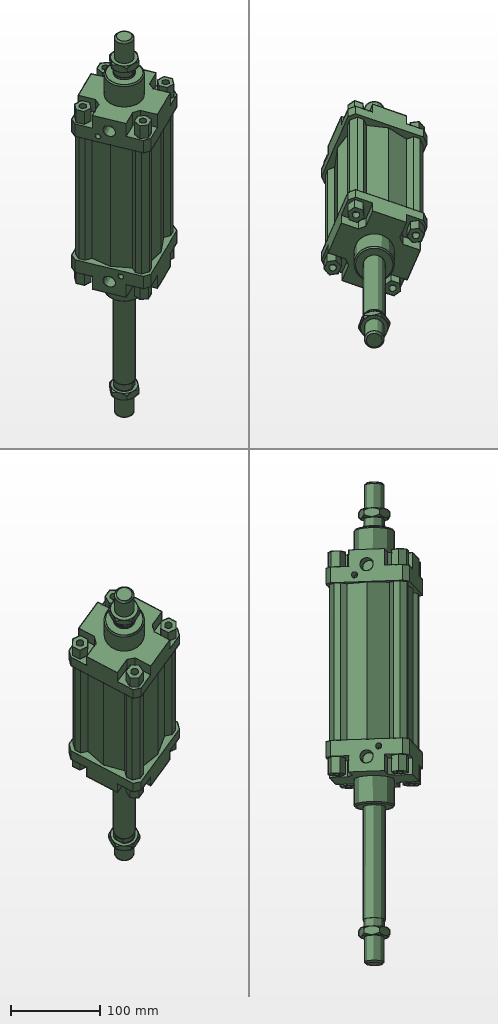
import cadquery as cq
import math


HEAD_WIDTH = 95.0
HEAD_CORNER_CHAMFER = 6.5
HEAD_HEIGHT = 37.0
BARREL_LENGTH = 180.5
HEAD_INNER_Z = BARREL_LENGTH / 2
HEAD_OUTER_Z = HEAD_INNER_Z + HEAD_HEIGHT

RECESS_DEPTH = 18.5
RECESS_FLOOR_Z = HEAD_OUTER_Z - RECESS_DEPTH
ARM_WIDTH = 40.5
RECESS_WIDTH = (HEAD_WIDTH - ARM_WIDTH) / 2
RECESS_CHAMFER = 6.5
BOLT_SPACING = 72.0
BOLT_ACROSS_FLATS = 17.0
BOLT_HOLE_DIAMETER = 8.0
BOLT_HOLE_DEPTH = 14.0
DRILL_POINT_ANGLE = 118

BOSS_DIAMETER = 45.0
BOSS_HEIGHT = 31.5
BOSS_CHAMFER = 1.5
BOSS_END_Z = HEAD_OUTER_Z + BOSS_HEIGHT

PORT_DIAMETER = 15.0
PORT_DEPTH = 16.5
PORT_Z = HEAD_OUTER_Z - 17.0
SCREW_HOLE_DIAMETER = 6.5
SCREW_HOLE_DEPTH = 16.5
SCREW_HOLE_X = 14.0
SCREW_HOLE_Z = HEAD_OUTER_Z - 28.5

BARREL_WIDTH = 88.5
BARREL_CORNER_CHAMFER = 6.5
BARREL_PAD_INNER = 30.0
BARREL_VALLEY_DEPTH = 6.0

ROD_DIAMETER = 25.0
ROD_LENGTH = 550
ROD_TOP_Z = 212.0
ROD_BOTTOM_Z = ROD_TOP_Z - ROD_LENGTH
THREAD_DIAMETER = 22
THREAD_CHAMFER = 2.0
NECK_DIAMETER = 24.0
FLATS_WIDTH = 22
FLATS_END = 49.0
NECK_END = 50.5

NUT_ACROSS_FLATS = 31.0
NUT_HEIGHT = 10.0
NUT_SETBACK = 31.0
NUT_CHAMFER_ANGLE = 45
THREAD_LENGTH = NUT_SETBACK + NUT_HEIGHT


def across_corners(across_flats):
    """Return the corner-to-corner width of a hexagon."""
    return across_flats / math.cos(math.radians(30))


def make_bolt(quarter_turns):
    """Hexagonal bolt with a drilled end; each corner turns it by a further quarter turn."""
    bolt = (
        cq.Workplane("XY", origin=(0, 0, RECESS_FLOOR_Z))
        .polygon(6, across_corners(BOLT_ACROSS_FLATS))
        .extrude(RECESS_DEPTH)
    )
    radius = BOLT_HOLE_DIAMETER / 2
    wall_end = HEAD_OUTER_Z - BOLT_HOLE_DEPTH
    tip = wall_end - radius / math.tan(math.radians(DRILL_POINT_ANGLE / 2))
    drilled_hole = (
        cq.Workplane("XZ")
        .polyline([(0, HEAD_OUTER_Z), (radius, HEAD_OUTER_Z), (radius, wall_end), (0, tip)])
        .close()
        .revolve(360, (0, 0, 0), (0, 1, 0))
    )
    return (
        bolt.cut(drilled_hole)
        .translate((-BOLT_SPACING / 2, -BOLT_SPACING / 2, 0))
        .rotate((0, 0, 0), (0, 0, 1), 90 * quarter_turns)
    )


def make_recess(quarter_turns):
    """Cutter for a corner recess with a chamfered inner corner."""
    return (
        cq.Workplane("XY", origin=(-HEAD_WIDTH / 2, -HEAD_WIDTH / 2, RECESS_FLOOR_Z))
        .rect(2 * RECESS_WIDTH, 2 * RECESS_WIDTH)
        .extrude(RECESS_DEPTH)
        .edges("|Z")
        .chamfer(RECESS_CHAMFER)
        .rotate((0, 0, 0), (0, 0, 1), 90 * quarter_turns)
    )


def front_hole(x, z, diameter, depth):
    """Cutter for a blind hole in the -Y face of a head."""
    return (
        cq.Workplane("XZ", origin=(x, -HEAD_WIDTH / 2, z))
        .circle(diameter / 2)
        .extrude(-depth)
    )


def make_upper_head():
    """Head with recesses, bolts, boss and port, at the +Z end of the barrel."""
    head = (
        cq.Workplane("XY", origin=(0, 0, HEAD_INNER_Z))
        .rect(HEAD_WIDTH, HEAD_WIDTH)
        .extrude(HEAD_HEIGHT)
        .edges("|Z")
        .chamfer(HEAD_CORNER_CHAMFER)
    )
    for quarter_turns in range(4):
        head = head.cut(make_recess(quarter_turns)).union(make_bolt(quarter_turns))
    boss = (
        cq.Workplane("XY", origin=(0, 0, HEAD_OUTER_Z))
        .circle(BOSS_DIAMETER / 2)
        .extrude(BOSS_HEIGHT)
        .faces(">Z")
        .chamfer(BOSS_CHAMFER)
    )
    return head.union(boss).cut(front_hole(0, PORT_Z, PORT_DIAMETER, PORT_DEPTH))


def make_barrel():
    """Barrel with a ridge in the middle of each side and a chamfered pad at each corner."""
    half = BARREL_WIDTH / 2
    valley_x = BARREL_PAD_INNER - BARREL_VALLEY_DEPTH
    valley_y = half - BARREL_VALLEY_DEPTH
    pad_outer = half - BARREL_CORNER_CHAMFER
    side = [
        (-pad_outer, -half),
        (-BARREL_PAD_INNER, -half),
        (-valley_x, -valley_y),
        (0, -half),
        (valley_x, -valley_y),
        (BARREL_PAD_INNER, -half),
        (pad_outer, -half),
    ]
    outline = []
    for quarter_turns in range(4):
        outline += side
        side = [(-y, x) for x, y in side]
    return (
        cq.Workplane("XY", origin=(0, 0, -HEAD_INNER_Z))
        .polyline(outline)
        .close()
        .extrude(BARREL_LENGTH)
    )


def make_housing():
    """Barrel and both heads, bored through for the rod."""
    upper_head = make_upper_head()
    rod_bore = (
        cq.Workplane("XY", origin=(0, 0, -BOSS_END_Z))
        .circle(ROD_DIAMETER / 2)
        .extrude(2 * BOSS_END_Z)
    )
    housing = make_barrel().union(upper_head).union(upper_head.mirror("XY"))
    for side in (1, -1):
        housing = housing.cut(
            front_hole(-side * SCREW_HOLE_X, side * SCREW_HOLE_Z, SCREW_HOLE_DIAMETER, SCREW_HOLE_DEPTH)
        )
    return housing.cut(rod_bore)


def make_lower_neck():
    """Reduced length of the rod with two wrench flats on its +X and -X sides."""
    neck = (
        cq.Workplane("XY", origin=(0, 0, ROD_BOTTOM_Z + THREAD_LENGTH))
        .circle(NECK_DIAMETER / 2)
        .extrude(NECK_END - THREAD_LENGTH)
    )
    flats_length = FLATS_END - THREAD_LENGTH
    for side in (1, -1):
        flat_x = side * (FLATS_WIDTH / 2 + NECK_DIAMETER / 2)
        beyond_flat = (
            cq.Workplane("XY", origin=(flat_x, 0, ROD_BOTTOM_Z + THREAD_LENGTH))
            .rect(NECK_DIAMETER, NECK_DIAMETER)
            .extrude(flats_length)
        )
        neck = neck.cut(beyond_flat)
    return neck


def make_rod():
    """Through rod with a chamfered thread and a flatted neck at both ends."""
    threaded_core = (
        cq.Workplane("XY", origin=(0, 0, ROD_BOTTOM_Z))
        .circle(THREAD_DIAMETER / 2)
        .extrude(ROD_LENGTH)
        .faces("<Z or >Z")
        .chamfer(THREAD_CHAMFER)
    )
    shank = (
        cq.Workplane("XY", origin=(0, 0, ROD_BOTTOM_Z + NECK_END))
        .circle(ROD_DIAMETER / 2)
        .extrude(ROD_LENGTH - 2 * NECK_END)
    )
    lower_neck = make_lower_neck()
    upper_neck = lower_neck.mirror("XY", (0, 0, (ROD_TOP_Z + ROD_BOTTOM_Z) / 2))
    return threaded_core.union(shank).union(lower_neck).union(upper_neck)


def make_nut(z_bottom):
    """Hexagonal nut with both ends turned to a cone."""
    corner_radius = across_corners(NUT_ACROSS_FLATS) / 2
    end_radius = NUT_ACROSS_FLATS / 2
    drop = (corner_radius - end_radius) * math.tan(math.radians(NUT_CHAMFER_ANGLE))
    turned_blank = (
        cq.Workplane("XZ")
        .polyline([
            (0, 0),
            (end_radius, 0),
            (corner_radius, drop),
            (corner_radius, NUT_HEIGHT - drop),
            (end_radius, NUT_HEIGHT),
            (0, NUT_HEIGHT),
        ])
        .close()
        .revolve(360, (0, 0, 0), (0, 1, 0))
    )
    return (
        cq.Workplane("XY")
        .polygon(6, 2 * corner_radius)
        .extrude(NUT_HEIGHT)
        .intersect(turned_blank)
        .cut(cq.Workplane("XY").circle(THREAD_DIAMETER / 2).extrude(NUT_HEIGHT))
        .translate((0, 0, z_bottom))
    )


housing = make_housing()
rod = make_rod()
nuts = [
    make_nut(z_bottom)
    for z_bottom in (ROD_TOP_Z - NUT_SETBACK - NUT_HEIGHT, ROD_BOTTOM_Z + NUT_SETBACK)
]

result = cq.Compound.makeCompound([housing.val(), rod.val(), *[nut.val() for nut in nuts]])